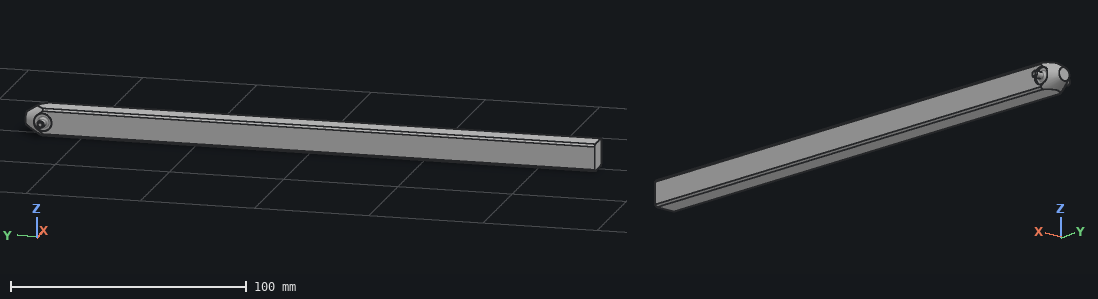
import cadquery as cq

length = 250.0
side = 12.0
edge_chamfer = 1.0

nose_tip = length / 2
tip_radius = 3.0
nose_middle_radius = 5.5
nose_middle_setback = 4.0
nose_base_radius = 8.0
nose_base_setback = 8.8

pin_span = 20.0
pin_diameter = 3.0
pin_chamfer = 0.5
pin_setback = 8.2
pin_root_fillet = 1.0
recess_diameter = 7.8
recess_depth = 1.0
recess_floor_width = side - 2 * recess_depth


def nose_envelope():
    """Solid of revolution about Y that trims the bar to its rounded nose."""
    clear_radius = side
    nose_base_y = nose_tip - nose_base_setback
    return (
        cq.Workplane("XY")
        .moveTo(0, nose_tip)
        .lineTo(tip_radius, nose_tip)
        .threePointArc(
            (nose_middle_radius, nose_tip - nose_middle_setback),
            (nose_base_radius, nose_base_y),
        )
        .lineTo(clear_radius, nose_base_y)
        .lineTo(clear_radius, -length / 2)
        .lineTo(0, -length / 2)
        .close()
        .revolve(360, (0, 0, 0), (0, 1, 0))
    )


def bar():
    """Square bar with broken long edges and a rounded nose."""
    blank = cq.Workplane("XY").box(side, length, side).edges("|Y").chamfer(edge_chamfer)
    return blank.intersect(nose_envelope())


def cross_cylinder(diameter, width):
    """Cylinder along X on the pin axis, centred on the bar."""
    return (
        cq.Workplane("YZ")
        .center(nose_tip - pin_setback, 0)
        .circle(diameter / 2)
        .extrude(width / 2, both=True)
    )


def recesses():
    """Shallow round pockets around the pin on both flanks."""
    core = cross_cylinder(recess_diameter, recess_floor_width)
    return cross_cylinder(recess_diameter, side).cut(core)


def pin():
    """Cross pin with chamfered ends and a fillet where each end leaves its recess floor."""
    pin_radius = pin_diameter / 2
    half_span = pin_span / 2
    floor_x = recess_floor_width / 2
    fillet_end_x = floor_x + pin_root_fillet
    root_radius = pin_radius + pin_root_fillet
    fillet_middle = pin_root_fillet * (1 - 0.5 ** 0.5)
    half_pin = (
        cq.Workplane("XY")
        .moveTo(0, 0)
        .lineTo(0, root_radius)
        .lineTo(floor_x, root_radius)
        .threePointArc(
            (floor_x + fillet_middle, pin_radius + fillet_middle),
            (fillet_end_x, pin_radius),
        )
        .lineTo(half_span - pin_chamfer, pin_radius)
        .lineTo(half_span, pin_radius - pin_chamfer)
        .lineTo(half_span, 0)
        .close()
        .revolve(360, (0, 0, 0), (1, 0, 0))
    )
    return half_pin.union(half_pin.mirror("YZ")).translate((0, nose_tip - pin_setback, 0))


result = bar().cut(recesses()).union(pin())